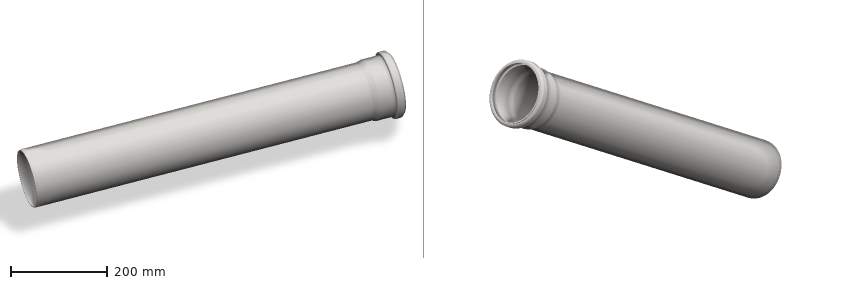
import cadquery as cq
import math

total_length = 813.0

pipe_radius = 125.2 / 2
pipe_bore_radius = 119.0 / 2
spigot_chamfer_length = 5.5
spigot_chamfer_depth = 1.0

socket_wall = 2.8
socket_radius = 131.8 / 2
socket_bore_radius = socket_radius - socket_wall

bead_radius = 144.4 / 2
groove_radius = bead_radius - socket_wall
mouth_round = bead_radius - socket_radius
back_round = 2.8
neck_round = 1.4

lip_length = 2.5
bead_back = 20.9
neck_end = bead_back + neck_round
taper_start = 57.5
taper_end = 70.0

groove_front = lip_length + socket_wall
groove_back = bead_back - socket_wall


def from_mouth(distance):
    """Y coordinate of a point a given distance behind the mouth face."""
    return total_length - distance


def arc_middle(center, radius, angle):
    """Point on a circle, the angle in degrees measured from the outward radial direction."""
    turn = math.radians(angle)
    return (center[0] + radius * math.cos(turn), center[1] + radius * math.sin(turn))


mouth_center = (socket_radius, from_mouth(lip_length + mouth_round))
back_center = (bead_radius - back_round, from_mouth(bead_back - back_round))
neck_center = (socket_radius + neck_round, from_mouth(neck_end))


def revolve_about_axis(profile):
    return profile.close().revolve(360, (0, 0), (0, 1))


def make_outer_body():
    """Solid bounded by the outside surface."""
    profile = (
        cq.Workplane("XY")
        .moveTo(0, 0)
        .lineTo(pipe_radius - spigot_chamfer_depth, 0)
        .lineTo(pipe_radius, spigot_chamfer_length)
        .lineTo(pipe_radius, from_mouth(taper_end))
        .lineTo(socket_radius, from_mouth(taper_start))
        .lineTo(socket_radius, from_mouth(neck_end))
        .threePointArc(arc_middle(neck_center, neck_round, 135), (neck_center[0], from_mouth(bead_back)))
        .lineTo(back_center[0], from_mouth(bead_back))
        .threePointArc(arc_middle(back_center, back_round, -45), (bead_radius, back_center[1]))
        .lineTo(bead_radius, mouth_center[1])
        .threePointArc(arc_middle(mouth_center, mouth_round, 45), (socket_radius, from_mouth(lip_length)))
        .lineTo(socket_radius, total_length)
        .lineTo(0, total_length)
    )
    return revolve_about_axis(profile)


def make_bore():
    """Pipe bore, socket bore and seal groove as one solid to remove."""
    groove_round = mouth_round - socket_wall
    profile = (
        cq.Workplane("XY")
        .moveTo(0, 0)
        .lineTo(pipe_bore_radius, 0)
        .lineTo(pipe_bore_radius, from_mouth(taper_end))
        .lineTo(socket_bore_radius, from_mouth(taper_start))
        .lineTo(socket_bore_radius, from_mouth(groove_back))
        .lineTo(groove_radius, from_mouth(groove_back))
        .lineTo(groove_radius, mouth_center[1])
        .threePointArc(arc_middle(mouth_center, groove_round, 45), (mouth_center[0], from_mouth(groove_front)))
        .lineTo(socket_bore_radius, from_mouth(groove_front))
        .lineTo(socket_bore_radius, total_length)
        .lineTo(0, total_length)
    )
    return revolve_about_axis(profile)


result = make_outer_body().cut(make_bore())